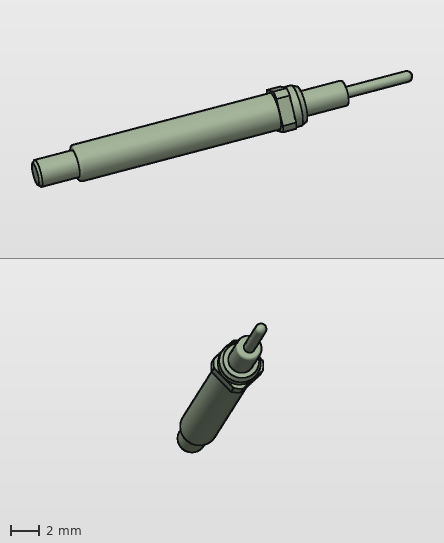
import cadquery as cq

tail_radius = 2.0 / 2
tail_length = 3.0
tail_chamfer = 0.2

body_radius = 2.7 / 2
body_length = 15.0
body_rounding = 0.2

collar_radius = 3.6 / 2
collar_across_flats = 3.0
collar_length = 1.0
flat_angle = 45

shoulder_radius = 3.0 / 2
shoulder_length = 0.6
cone_end_radius = 2.6 / 2
cone_length = 0.4

plunger_radius = 1.85 / 2
plunger_length = 3.3
plunger_rounding = 0.2

needle_radius = 0.8 / 2
needle_length = 5.0

body_end = -body_length
tail_end = body_end - tail_length
cone_start = collar_length + shoulder_length
plunger_start = cone_start + cone_length
needle_start = plunger_start + plunger_length
needle_end = needle_start + needle_length


def revolve_about_y(profile):
    """Spin a half profile, drawn with Y along and Z outward, a full turn about the Y axis."""
    return profile.revolve(360, (0, 0, 0), (1, 0, 0))


def make_turned_probe():
    """Every round section in one profile, from the tail to the needle tip."""
    tip_center = needle_end - needle_radius
    profile = (
        cq.Workplane("YZ")
        .moveTo(tail_end, 0)
        .lineTo(tail_end, tail_radius - tail_chamfer)
        .lineTo(tail_end + tail_chamfer, tail_radius)
        .lineTo(body_end, tail_radius)
        .lineTo(body_end, body_radius - body_rounding)
        .radiusArc((body_end + body_rounding, body_radius), body_rounding)
        .lineTo(collar_length, body_radius)
        .lineTo(collar_length, shoulder_radius)
        .lineTo(cone_start, shoulder_radius)
        .lineTo(plunger_start, cone_end_radius)
        .lineTo(plunger_start, plunger_radius)
        .lineTo(needle_start - plunger_rounding, plunger_radius)
        .radiusArc((needle_start, plunger_radius - plunger_rounding), plunger_rounding)
        .lineTo(needle_start, needle_radius)
        .lineTo(tip_center, needle_radius)
        .radiusArc((needle_end, 0), needle_radius)
        .close()
    )
    return revolve_about_y(profile)


def make_collar():
    """Round collar with four flats turned to face between X and Z."""
    disc = revolve_about_y(cq.Workplane("YZ").rect(collar_length, collar_radius, centered=False))
    square = cq.Workplane("XZ").rect(collar_across_flats, collar_across_flats).extrude(-collar_length)
    return disc.intersect(square.rotate((0, 0, 0), (0, 1, 0), flat_angle))


result = make_turned_probe().union(make_collar())